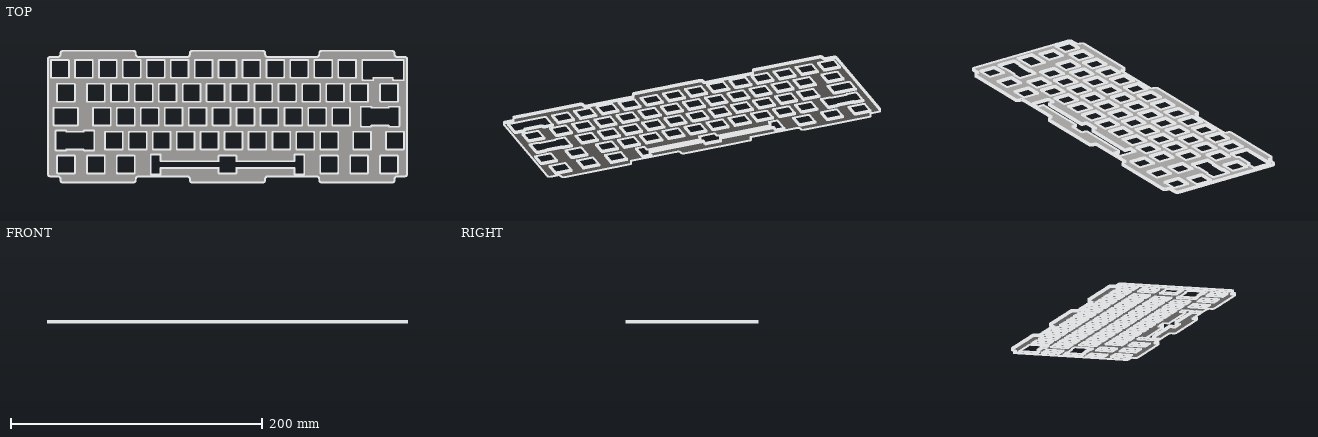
import cadquery as cq

plate_length = 286.0
plate_thickness = 1.6
row_units = 15
row_count = 5
side_margin = 0.15
key_pitch = (plate_length - 2 * side_margin) / row_units
body_width = row_count * key_pitch

overall_width = 105.0
tab_length = 60.0
tab_spacing = 103.0
outline_radius = 2.0

switch_size = 14.0
opening_radius = 0.4
caps_lock_length = 19.2
caps_lock_offset = -2.5
wide_key_length = 30.5
stabilizer_width = 15.7
backspace_length = 33.0
backspace_step = 2.0
backspace_gap = 15.7
space_foot_length = 7.7
space_foot_spacing = 114.5
space_bar_width = 5.1

number_row = 0
home_row = 2
shift_row = 3
bottom_row = 4

switch_rows = [
    [0.5 + i for i in range(13)],
    [0.75] + [2 + i for i in range(12)] + [14.25],
    [2.25 + i for i in range(11)],
    [2.75 + i for i in range(10)] + [13.125, 14.5],
    [0.75, 2, 3.25, 11.75, 13, 14.25],
]

backspace_unit = 14
caps_lock_unit = 0.875
enter_unit = 13.875
left_shift_unit = 1.125
space_unit = 7.5


def key_centre(unit, row):
    """Centre of a key given its position in key units and its row, counted from the back."""
    return (unit - row_units / 2) * key_pitch, ((row_count - 1) / 2 - row) * key_pitch


def block(length, width, centre):
    """Plate-thick rectangular block about a centre point."""
    return cq.Workplane("XY").center(*centre).rect(length, width).extrude(plate_thickness)


def plate_blank():
    """Rectangular body with three mounting tabs on each long edge and rounded corners."""
    blank = block(plate_length, body_width, (0, 0))
    for step in (-1, 0, 1):
        blank = blank.union(block(tab_length, overall_width, (step * tab_spacing, 0)))
    return blank.edges("|Z").fillet(outline_radius)


def wide_key_opening(centre):
    """Switch opening with a taller stabilizer pocket on each side."""
    x, y = centre
    foot_length = (wide_key_length - switch_size) / 2
    foot_offset = (wide_key_length - foot_length) / 2
    opening = block(wide_key_length, switch_size, centre)
    for side in (-1, 1):
        foot_centre = (x + side * foot_offset, y)
        opening = opening.union(block(foot_length, stabilizer_width, foot_centre))
    return opening


def backspace_opening(centre):
    """Wide opening with a straight back edge and two feet at the front."""
    x, y = centre
    opening = block(backspace_length, switch_size + backspace_step, (x, y - backspace_step / 2))
    return opening.cut(block(backspace_gap, backspace_step, (x, y - (switch_size + backspace_step) / 2)))


def space_opening(centre):
    """Switch opening joined by a narrow slot to a stabilizer pocket at each end."""
    x, y = centre
    opening = block(switch_size, switch_size, centre)
    opening = opening.union(block(space_foot_spacing, space_bar_width, centre))
    for side in (-1, 1):
        foot_centre = (x + side * space_foot_spacing / 2, y)
        opening = opening.union(block(space_foot_length, stabilizer_width, foot_centre))
    return opening


def caps_lock_opening(centre):
    """Long plain opening for a stepped key, shifted towards the left edge."""
    x, y = centre
    return block(caps_lock_length, switch_size, (x + caps_lock_offset, y))


switch_centres = [key_centre(unit, row) for row, units in enumerate(switch_rows) for unit in units]
special_openings = [
    backspace_opening(key_centre(backspace_unit, number_row)),
    caps_lock_opening(key_centre(caps_lock_unit, home_row)),
    wide_key_opening(key_centre(enter_unit, home_row)),
    wide_key_opening(key_centre(left_shift_unit, shift_row)),
    space_opening(key_centre(space_unit, bottom_row)),
]

openings = cq.Workplane("XY").pushPoints(switch_centres).rect(switch_size, switch_size)
openings = openings.extrude(plate_thickness)
for opening in special_openings:
    openings = openings.union(opening)

result = plate_blank().cut(openings.edges("|Z").fillet(opening_radius))